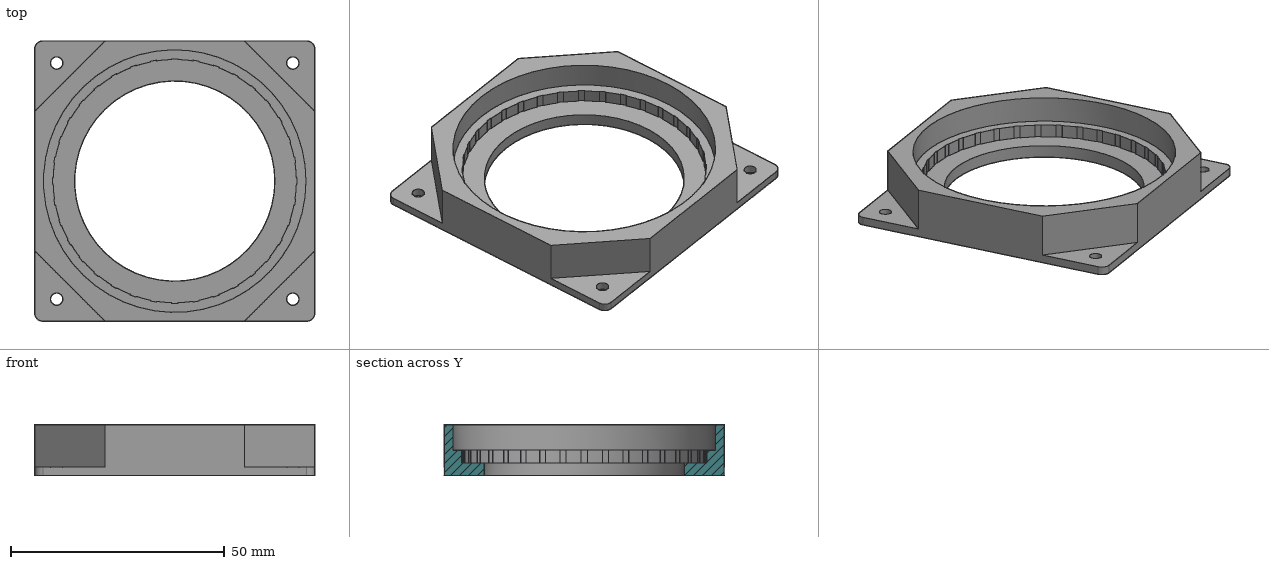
import cadquery as cq

side = 65.8
height = 12.0

plate_thickness = 2.0
plate_corner_radius = 2.0

screw_hole_diameter = 2.8
screw_hole_spacing = 55.4

corner_cut = 16.6

pocket_diameter = 61.6
pocket_depth = height / 2
seat_diameter = 57.05
seat_depth = 9.0
opening_diameter = 46.9

groove_count = 36
groove_width = 1.45
groove_depth = 0.165


def base_plate():
    """Square plate with rounded corners and a screw hole at each corner."""
    plate = cq.Workplane("XY").rect(side, side).extrude(plate_thickness)
    plate = plate.edges("|Z").fillet(plate_corner_radius)
    return (
        plate.faces(">Z").workplane()
        .rect(screw_hole_spacing, screw_hole_spacing, forConstruction=True)
        .vertices()
        .hole(screw_hole_diameter)
    )


def octagonal_housing():
    """Full-height block with its four vertical corners cut at 45 degrees."""
    block = cq.Workplane("XY").rect(side, side).extrude(height)
    return block.edges("|Z").chamfer(corner_cut)


def bore_from_top(diameter, depth):
    """Cylinder that removes a round bore of the given depth from the top face."""
    return (
        cq.Workplane("XY", origin=(0, 0, height - depth))
        .circle(diameter / 2)
        .extrude(depth)
    )


def seat_grooves():
    """Ring of groove cutters with a common curved floor, reaching down to the seat floor."""
    blank_length = 4 * groove_depth
    blanks = (
        cq.Workplane("XY", origin=(0, 0, height - seat_depth))
        .polarArray(seat_diameter / 2, 0, 360, groove_count)
        .rect(blank_length, groove_width)
        .extrude(seat_depth)
    )
    groove_floor_diameter = seat_diameter + 2 * groove_depth
    return blanks.intersect(bore_from_top(groove_floor_diameter, seat_depth))


result = base_plate().union(octagonal_housing())
result = result.cut(bore_from_top(pocket_diameter, pocket_depth))
result = result.cut(bore_from_top(seat_diameter, seat_depth))
result = result.cut(seat_grooves())
result = result.cut(bore_from_top(opening_diameter, height))